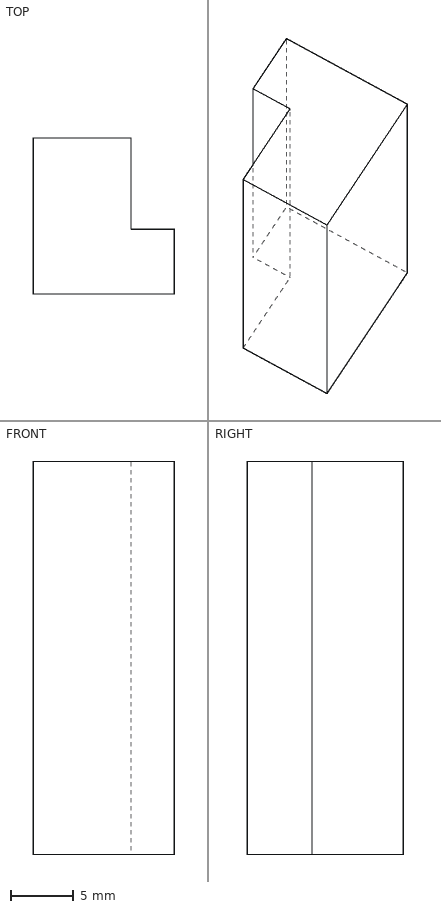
import cadquery as cq

width = 11.3
depth = 12.5
height = 31.5

wall_thickness = 7.85
flange_thickness = 5.2

section = [
    (0, 0),
    (width, 0),
    (width, flange_thickness),
    (wall_thickness, flange_thickness),
    (wall_thickness, depth),
    (0, depth),
]

result = cq.Workplane("XY").polyline(section).close().extrude(height)